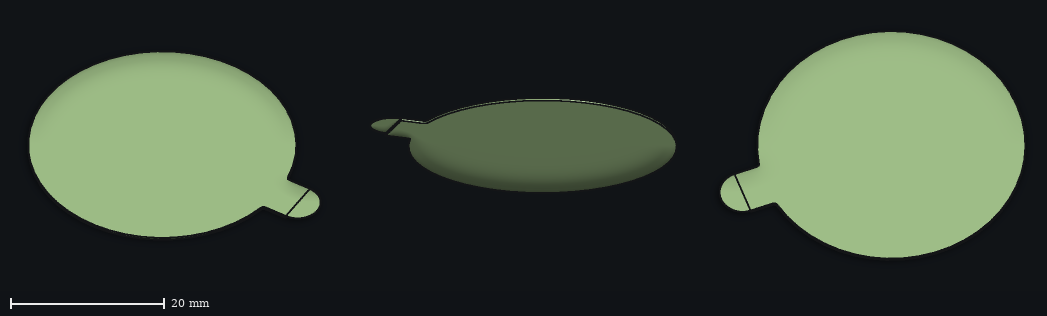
import cadquery as cq
import math

overall_length = 41.25
disc_diameter = 35.0
thickness = 0.37
tab_width = 6.02
root_fillet = 0.5
tip_thickness = 0.07

disc_radius = disc_diameter / 2
tab_radius = tab_width / 2
tab_end = overall_length - disc_radius
tip_start = tab_end - tab_radius

fillet_y = tab_radius + root_fillet
fillet_x = math.sqrt((disc_radius + root_fillet) ** 2 - fillet_y ** 2)

touch_ratio = disc_radius / (disc_radius + root_fillet)
touch_x = fillet_x * touch_ratio
touch_y = fillet_y * touch_ratio

touch_angle = math.atan2(fillet_y, fillet_x) + math.pi
middle_angle = (touch_angle + 1.5 * math.pi) / 2
middle_x = fillet_x + root_fillet * math.cos(middle_angle)
middle_y = fillet_y + root_fillet * math.sin(middle_angle)


def make_body():
    """Full-thickness disc with a round-ended tab and filleted roots."""
    return (
        cq.Workplane("XY")
        .moveTo(touch_x, touch_y)
        .threePointArc((-disc_radius, 0), (touch_x, -touch_y))
        .threePointArc((middle_x, -middle_y), (fillet_x, -tab_radius))
        .lineTo(tip_start, -tab_radius)
        .threePointArc((tab_end, 0), (tip_start, tab_radius))
        .lineTo(fillet_x, tab_radius)
        .threePointArc((middle_x, middle_y), (touch_x, touch_y))
        .close()
        .extrude(thickness)
    )


def make_tip_relief():
    """Block under the rounded tip that leaves only a thin flap flush with the top."""
    relief_height = thickness - tip_thickness
    return (
        cq.Workplane("XY")
        .moveTo(tip_start, 0)
        .box(tab_radius, tab_width, relief_height, centered=(False, True, False))
    )


result = make_body().cut(make_tip_relief())